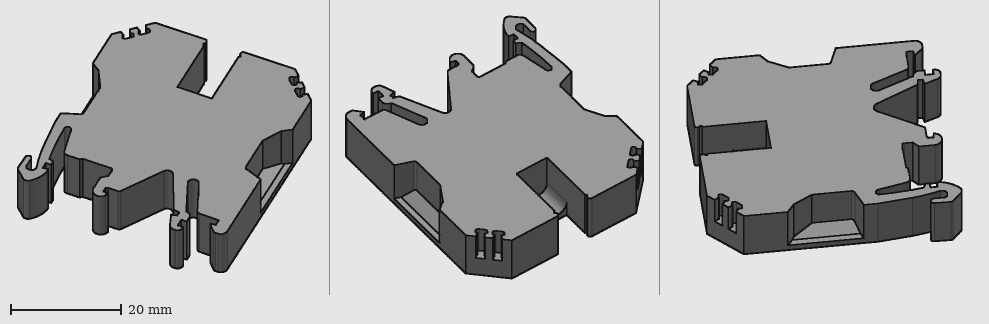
import cadquery as cq

length = 46.0
thickness = 10.0
half_width = 19.95
corner_cut = 6.0
left_wall_end = 15.55

latch_bend = (-19.3, 9.2)
latch_hook_mid = (-18.9, 6.62)
latch_hook_root = (-18.25, 3.95)
latch_hook_bottom = (-19.15, 2.7)
latch_lip_right = -20.0
latch_lip_left = -21.15
latch_lip_inner = (latch_lip_right, 3.25)
latch_lip_shoulder = 5.4
latch_lip_top = 5.95
latch_nose_corner = (-21.25, 2.1)
latch_nose_corner_radius = 0.5
latch_nose_x = -18.6
latch_nose_reach = 0.65
latch_nose_rise = 0.25
latch_cheek_mid = (-16.85, 1.5)
latch_catch_x = -16.05
latch_cheek_end = (latch_catch_x, 3.5)
latch_catch_top = 6.35
latch_notch_x = -17.1
latch_notch_bottom = 4.25
latch_notch_top = 5.5
latch_arm_inner_end = (-17.0, 6.8)
latch_arm_inner_mid = (-17.5, 10.25)
latch_slit_left = (-17.75, 14.9)
latch_slit_top = (-17.1, 15.5)
latch_slit_right = (-16.45, 14.95)

seat_corner = (-15.2, 8.92)
seat_y = 9.3
seat_step_x = -11.9
seat_step_run = 0.35
seat_right = -5.47
seat_corner_radius = 0.9
seat_end_radius = 0.45

foot_left = -6.62
foot_shoulder_top = 7.3
foot_shoulder_bottom = 6.3
foot_round_y = 3.35
foot_bottom = (-5.15, 1.9)
foot_round_end = (-3.9, 2.58)
foot_tip = (-3.65, 3.17)
foot_throat_x = -4.65
foot_throat_bottom = 3.4
foot_throat_top = 4.35
foot_lip_run = 0.45
foot_base_y = 4.55

relief_left = (-2.0, foot_base_y)
relief_apex = (4.2, 14.3)
relief_right = (8.9, foot_base_y)
relief_radius = 1.1
relief_left_radius = 0.55

arm_notch_x = 10.05
arm_notch_top = 4.32
arm_notch_bottom = 3.45
arm_toe = (8.92, 3.2)
arm_sole_left = (9.85, 0.75)
arm_sole_left_radius = 1.2
arm_sole_flat = (10.95, 11.25)
arm_right = 12.3
arm_sole_right_radius = arm_right - arm_sole_flat[1]
arm_slot_x = 11.2
arm_slot_bottom = 1.3
arm_slot_top = 2.8
arm_shoulder_y = 4.05
arm_shoulder_mid = (11.9, 4.75)
arm_shoulder_end = (11.1, 5.1)
arm_slit_left = (8.4, 11.5)
arm_slit_top = (9.3, 13.05)
arm_slit_right = (10.2, 12.5)

right_seat_corner = (13.05, 5.6)
right_seat_radius = 0.7
right_throat_x = 17.4
right_throat_top = 5.5
right_throat_bottom = 4.2
right_tip = (16.38, 4.0)
right_tip_flat = 0.25
right_sole_left = (17.7, 2.58)
right_sole_left_mid = (17.9, 2.45)
right_sole_flat = (18.12, 18.65)
right_sole_y = 2.4
right_sole_radius = half_width - right_sole_flat[1]

slot_centre_x = -0.1
slot_width = 6.85
slot_bottom = 38.95
slot_mouth_radius = 0.45
slot_groove_radius = 0.28
slot_groove_y = 44.85
channel_end = 32.95
channel_floor = 1.3
channel_radius = 2.0

pocket_top = 31.95
pocket_bend_inset = 1.75
pocket_bend_y = 30.7
pocket_depth = 3.75
pocket_inner_top = 27.1
pocket_inner_bottom = 19.5
pocket_corner_radius = 0.6
pocket_bottom = 18.1
pocket_floor_outer = 1.3
pocket_floor_inner = 2.6
pocket_flat = 1.25

key_pitch = 3.15
key_mouth_half = 0.87
key_neck_half = 0.7
key_neck_depth = 0.9
key_head_half = 1.1
key_depth = 1.95
key_floor = 4.35


def add_left_latch(outline):
    """Outer side of the arm, the release lip, the nose, the rail catch and the inner slit."""
    lip_middle = (latch_lip_left + latch_lip_right) / 2
    return (
        outline.lineTo(*latch_bend)
        .threePointArc(latch_hook_mid, latch_hook_root)
        .threePointArc(latch_hook_bottom, latch_lip_inner)
        .lineTo(latch_lip_right, latch_lip_shoulder)
        .threePointArc((lip_middle, latch_lip_top), (latch_lip_left, latch_lip_shoulder))
        .lineTo(*latch_nose_corner)
        .lineTo(latch_nose_x - latch_nose_reach, latch_nose_rise)
        .threePointArc((latch_nose_x, 0), (latch_nose_x + latch_nose_reach, latch_nose_rise))
        .threePointArc(latch_cheek_mid, latch_cheek_end)
        .lineTo(latch_catch_x, latch_notch_bottom)
        .lineTo(latch_notch_x, latch_notch_bottom)
        .lineTo(latch_notch_x, latch_notch_top)
        .lineTo(latch_catch_x, latch_notch_top)
        .lineTo(latch_catch_x, latch_catch_top)
        .lineTo(*latch_arm_inner_end)
        .threePointArc(latch_arm_inner_mid, latch_slit_left)
        .threePointArc(latch_slit_top, latch_slit_right)
    )


def add_rail_seat(outline):
    """Flat that rests on the rail, with a small step."""
    return (
        outline.lineTo(*seat_corner)
        .lineTo(seat_step_x, seat_corner[1])
        .lineTo(seat_step_x + seat_step_run, seat_y)
        .lineTo(seat_right, seat_y)
    )


def add_middle_foot(outline):
    """Blunt hook opening towards +X."""
    return (
        outline.lineTo(seat_right, foot_shoulder_top)
        .lineTo(foot_left, foot_shoulder_bottom)
        .lineTo(foot_left, foot_round_y)
        .threePointArc(foot_bottom, foot_round_end)
        .lineTo(*foot_tip)
        .lineTo(foot_throat_x, foot_throat_bottom)
        .lineTo(foot_throat_x, foot_throat_top)
        .lineTo(foot_throat_x + foot_lip_run, foot_base_y)
    )


def add_spring_arm(outline):
    """V-shaped relief, notched spring arm and the slit that frees it."""
    return (
        outline.lineTo(*relief_left)
        .lineTo(*relief_apex)
        .lineTo(*relief_right)
        .lineTo(arm_notch_x, arm_notch_top)
        .lineTo(arm_notch_x, arm_notch_bottom)
        .lineTo(*arm_toe)
        .lineTo(*arm_sole_left)
        .radiusArc((arm_sole_flat[0], 0), -arm_sole_left_radius)
        .lineTo(arm_sole_flat[1], 0)
        .radiusArc((arm_right, arm_sole_right_radius), -arm_sole_right_radius)
        .lineTo(arm_right, arm_slot_bottom)
        .lineTo(arm_slot_x, arm_slot_bottom)
        .lineTo(arm_slot_x, arm_slot_top)
        .lineTo(arm_right, arm_slot_top)
        .lineTo(arm_right, arm_shoulder_y)
        .threePointArc(arm_shoulder_mid, arm_shoulder_end)
        .lineTo(*arm_slit_left)
        .threePointArc(arm_slit_top, arm_slit_right)
    )


def add_right_foot(outline):
    """Hook opening towards -X, ending on the right wall."""
    return (
        outline.lineTo(*right_seat_corner)
        .lineTo(right_throat_x, right_throat_top)
        .lineTo(right_throat_x, right_throat_bottom)
        .lineTo(right_tip[0] + right_tip_flat, right_throat_bottom)
        .lineTo(*right_tip)
        .lineTo(*right_sole_left)
        .threePointArc(right_sole_left_mid, (right_sole_flat[0], right_sole_y))
        .lineTo(right_sole_flat[1], right_sole_y)
        .radiusArc((half_width, right_sole_y + right_sole_radius), -right_sole_radius)
    )


def round_edge(solid, corner, radius):
    """Fillet the upright edge that passes through a corner of the outline."""
    edge = cq.selectors.NearestToPointSelector((*corner, thickness / 2))
    return solid.edges("|Z").edges(edge).fillet(radius)


def build_plate():
    outline = cq.Workplane("XY").moveTo(-half_width, left_wall_end)
    outline = add_left_latch(outline)
    outline = add_rail_seat(outline)
    outline = add_middle_foot(outline)
    outline = add_spring_arm(outline)
    outline = add_right_foot(outline)
    outline = (
        outline.lineTo(half_width, length - corner_cut)
        .lineTo(half_width - corner_cut, length)
        .lineTo(corner_cut - half_width, length)
        .lineTo(-half_width, length - corner_cut)
        .close()
    )
    plate = outline.extrude(thickness)
    plate = round_edge(plate, seat_corner, seat_corner_radius)
    plate = round_edge(plate, (seat_right, seat_y), seat_end_radius)
    plate = round_edge(plate, relief_apex, relief_radius)
    plate = round_edge(plate, relief_left, relief_left_radius)
    plate = round_edge(plate, latch_nose_corner, latch_nose_corner_radius)
    return round_edge(plate, right_seat_corner, right_seat_radius)


def cut_screwdriver_slot(plate):
    slot_length = length - slot_bottom
    slot = (
        cq.Workplane("XY")
        .center(slot_centre_x, slot_bottom + slot_length / 2)
        .rect(slot_width, slot_length)
        .extrude(thickness)
    )
    plate = plate.cut(slot)
    for side in (-1, 1):
        wall_x = slot_centre_x + side * slot_width / 2
        plate = round_edge(plate, (wall_x, length), slot_mouth_radius)
        groove = (
            cq.Workplane("XY")
            .center(wall_x, slot_groove_y)
            .circle(slot_groove_radius)
            .extrude(thickness)
        )
        plate = plate.cut(groove)

    channel_length = slot_bottom - channel_end
    channel_height = thickness - channel_floor
    channel = (
        cq.Workplane("XY")
        .workplane(offset=channel_floor)
        .center(slot_centre_x, channel_end + channel_length / 2)
        .rect(slot_width, channel_length)
        .extrude(channel_height)
        .edges("|Y and <Z")
        .fillet(channel_radius)
    )
    return plate.cut(channel)


def build_pocket():
    """Cutter for the pocket in the left wall: a plan shape limited below by a sloping floor."""
    inner_x = pocket_depth - half_width
    plan = (
        cq.Workplane("XY")
        .moveTo(-half_width, pocket_bottom)
        .lineTo(-half_width, pocket_top)
        .lineTo(pocket_bend_inset - half_width, pocket_bend_y)
        .lineTo(inner_x, pocket_inner_top)
        .lineTo(inner_x, pocket_inner_bottom)
        .close()
        .extrude(thickness)
    )
    plan = round_edge(plan, (inner_x, pocket_inner_bottom), pocket_corner_radius)
    floor_profile = (
        cq.Workplane("XZ", origin=(0, pocket_bottom, 0))
        .moveTo(-half_width, pocket_floor_outer)
        .lineTo(pocket_flat - half_width, pocket_floor_outer)
        .lineTo(inner_x, pocket_floor_inner)
        .lineTo(inner_x, thickness)
        .lineTo(-half_width, thickness)
        .close()
        .extrude(pocket_bottom - pocket_top)
    )
    return plan.intersect(floor_profile)


def build_marker_key():
    """Cutter for one keyway, cut from the origin along +X."""
    neck = [
        (0, -key_mouth_half),
        (key_neck_depth, -key_neck_half),
        (key_neck_depth, key_neck_half),
        (0, key_mouth_half),
    ]
    head = (
        cq.Workplane("XY")
        .center((key_neck_depth + key_depth) / 2, 0)
        .slot2D(2 * key_head_half, key_depth - key_neck_depth, angle=90)
        .extrude(thickness - key_floor)
    )
    key = cq.Workplane("XY").polyline(neck).close().extrude(thickness - key_floor)
    return key.union(head)


def build_corner_keys():
    """Cutter for the pair of keyways in the left cut corner."""
    corner_x = corner_cut / 2 - half_width
    corner_y = length - corner_cut / 2
    pair = cq.Workplane("XY")
    for along in (-key_pitch / 2, key_pitch / 2):
        pair = pair.union(build_marker_key().translate((0, along, 0)))
    pair = pair.rotate((0, 0, 0), (0, 0, 1), -45)
    return pair.translate((corner_x, corner_y, key_floor))


result = cut_screwdriver_slot(build_plate())
for left_cutter in (build_pocket(), build_corner_keys()):
    result = result.cut(left_cutter)
    result = result.cut(left_cutter.mirror("YZ"))